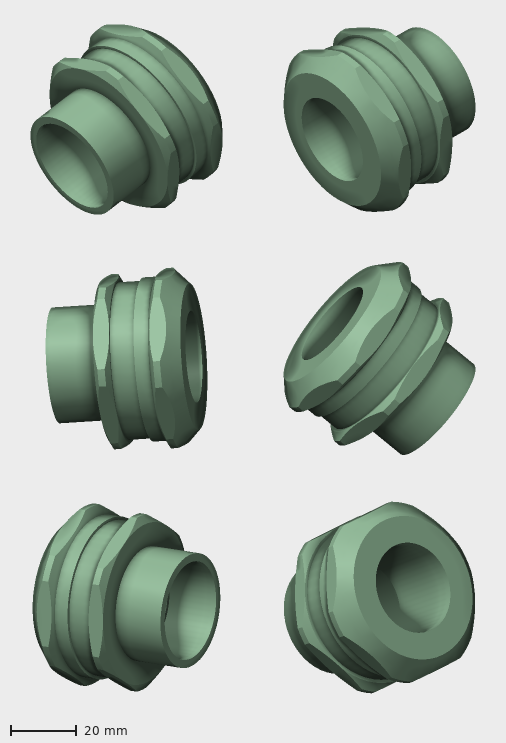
import cadquery as cq
import math

total_length = 42.5
tube_length = 15.95
body_hex_length = 5.1
neck_length = 7.5
collar_length = 4.5
cap_length = total_length - tube_length - body_hex_length - neck_length - collar_length

tube_diameter = 35.3
neck_diameter = 48.0
collar_diameter = 50.0

body_hex_flats = 50.0
body_hex_corners = 54.95
cap_flats = 52.0
cap_corners = 55.95
cap_end_diameter = 44.65
hex_chamfer_angle = 30.0

bore_diameter = 28.0
socket_diameter = 30.3
socket_depth = 16.5

tube_end = -total_length / 2
hex_start = tube_end + tube_length
neck_start = hex_start + body_hex_length
collar_start = neck_start + neck_length
cap_start = collar_start + collar_length


def cylinder(diameter, start, length):
    """Solid cylinder along +Y."""
    plane = cq.Plane(origin=(0, start, 0), xDir=(1, 0, 0), normal=(0, 1, 0))
    return cq.Workplane(plane).circle(diameter / 2).extrude(length)


def hexagon(across_flats, start, length):
    """Hexagonal prism along +Y with flats facing +X and -X."""
    plane = cq.Plane(origin=(0, start, 0), xDir=(0, 0, 1), normal=(0, 1, 0))
    return cq.Workplane(plane).polygon(6, across_flats / math.cos(math.pi / 6)).extrude(length)


def turned_envelope(corners, start, length, start_diameter, start_chamfer, end_diameter, end_chamfer):
    """Turned cylinder with a cone at each end, used to round off a hexagon."""
    end = start + length
    profile = [
        (0, start),
        (start_diameter / 2, start),
        (corners / 2, start + start_chamfer),
        (corners / 2, end - end_chamfer),
        (end_diameter / 2, end),
        (0, end),
    ]
    return cq.Workplane("XY").polyline(profile).close().revolve(360, (0, 0, 0), (0, 1, 0))


def chamfer_length(large_diameter, small_diameter):
    """Axial length of a hexagon chamfer."""
    return (large_diameter - small_diameter) / 2 * math.tan(math.radians(hex_chamfer_angle))


body_chamfer = chamfer_length(body_hex_corners, body_hex_flats)
body_hex = hexagon(body_hex_flats, hex_start, body_hex_length).intersect(
    turned_envelope(body_hex_corners, hex_start, body_hex_length,
                    body_hex_flats, body_chamfer, body_hex_flats, body_chamfer)
)

cap_cone_length = (cap_corners - cap_end_diameter) / 2
cap_chamfer = chamfer_length(cap_corners, collar_diameter)
cap = hexagon(cap_flats, cap_start, cap_length).intersect(
    turned_envelope(cap_corners, cap_start, cap_length,
                    collar_diameter, cap_chamfer, cap_end_diameter, cap_cone_length)
)

tube = cylinder(tube_diameter, tube_end, tube_length)
neck = cylinder(neck_diameter, neck_start, neck_length)
collar = cylinder(collar_diameter, collar_start, collar_length)

bore = cylinder(bore_diameter, tube_end, total_length)
socket = cylinder(socket_diameter, tube_end, socket_depth)

result = tube.union(body_hex).union(neck).union(collar).union(cap).cut(bore).cut(socket)